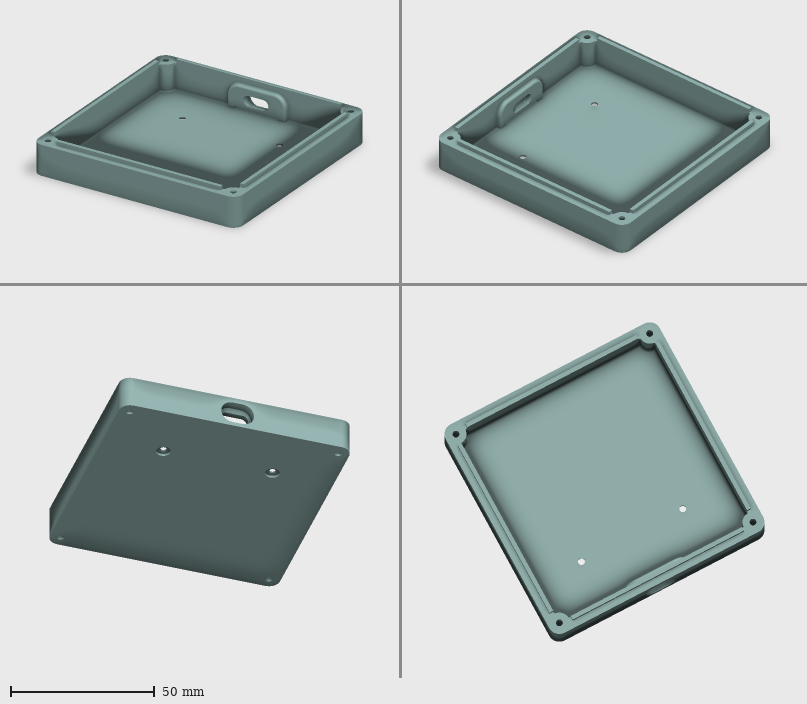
import cadquery as cq

side = 84.45
total_height = 13.5
lip_height = 1.5
body_height = total_height - lip_height
corner_radius = 4.0
wall = 4.0
floor_thickness = 1.5
floor_fillet = 0.7
post_blend = 0.5
cavity_side = side - 2 * wall
inner_face = cavity_side / 2
outer_face = side / 2

post_radius = 3.65
screw_diameter = 2.4

lip_width = 1.5
lip_length = 67.6

mount_diameter = 2.4
mount_head_diameter = 5.2
mount_head_depth = 0.9
mount_spacing = 40.0
mount_y = 20.4

pad_width = 23.8
pad_top = 10.8
pad_corner_radius = 4.65
pad_blend = 0.78
pad_thickness = 2 * pad_blend
pad_face = inner_face - pad_thickness
notch_width = 18.0
notch_height = 1.1

port_z = 5.75
socket_width = 10.2
socket_height = 4.2
port_width = 9.8
port_height = 4.0
recess_width = 12.0
recess_height = 8.5
recess_depth = 3.4


def at_cavity_corners(height):
    """Workplane at the given height with one point on each corner of the cavity."""
    plane = cq.Workplane("XY").workplane(offset=height)
    return plane.rect(cavity_side, cavity_side, forConstruction=True).vertices()


def make_body():
    """Square tray whose cavity leaves a round post in each corner."""
    body = cq.Workplane("XY").rect(side, side).extrude(body_height)
    body = body.edges("|Z").fillet(corner_radius)
    cavity_height = body_height - floor_thickness
    cavity = cq.Workplane("XY").workplane(offset=floor_thickness)
    cavity = cavity.rect(cavity_side, cavity_side).extrude(cavity_height)
    cavity = cavity.cut(at_cavity_corners(floor_thickness).circle(post_radius).extrude(cavity_height))
    cavity = cavity.edges("|Z").fillet(post_blend).edges("<Z").fillet(floor_fillet)
    return body.cut(cavity)


def make_lip():
    """Four strips standing on the rim, flush with the cavity walls."""
    strip = (
        cq.Workplane("XY")
        .workplane(offset=body_height)
        .center(0, inner_face + lip_width / 2)
        .rect(lip_length, lip_width)
        .extrude(lip_height)
    )
    lip = strip
    for angle in (90, 180, 270):
        lip = lip.union(strip.rotate((0, 0, 0), (0, 0, 1), angle))
    return lip


def arched_slab(grow, start_y, depth):
    """Slab on the floor with two round top corners, grown sideways and upwards, running towards -Y."""
    height = pad_top + grow - floor_thickness
    slab = cq.Workplane("XZ", origin=(0, start_y, floor_thickness + height / 2))
    slab = slab.rect(pad_width + 2 * grow, height).extrude(depth)
    return slab.edges("|Y and >Z").fillet(pad_corner_radius + grow)


def make_pad():
    """Connector pad: rounded front edge, hollow blend into the wall and a notch along the floor."""
    pad = arched_slab(0, inner_face, pad_thickness)
    pad = pad.faces("<Y").edges("not <Z").fillet(pad_blend)
    blend = arched_slab(pad_blend, inner_face, pad_blend)
    half_width = pad_width / 2 + pad_blend
    straight = pad_width / 2 - pad_corner_radius
    corner_z = pad_top - pad_corner_radius
    diagonal = (pad_corner_radius + pad_blend) / 2**0.5
    path = (
        cq.Workplane("XZ", origin=(0, inner_face - pad_blend, 0))
        .moveTo(-half_width, floor_thickness)
        .lineTo(-half_width, corner_z)
        .threePointArc((-straight - diagonal, corner_z + diagonal), (-straight, pad_top + pad_blend))
        .lineTo(straight, pad_top + pad_blend)
        .threePointArc((straight + diagonal, corner_z + diagonal), (half_width, corner_z))
        .lineTo(half_width, floor_thickness)
    )
    groove = cq.Workplane("XY", origin=(-half_width, inner_face - pad_blend, floor_thickness))
    groove = groove.circle(pad_blend).sweep(path)
    pad = pad.union(blend.cut(groove))
    notch = cq.Workplane("XY", origin=(0, inner_face, floor_thickness))
    notch = notch.rect(notch_width, 2 * pad_thickness).extrude(notch_height)
    return pad.cut(notch)


def stadium(width, height, start_y, end_y):
    """Horizontal slot with round ends, centred on the connector and running along Y."""
    slot = cq.Workplane("XZ", origin=(0, end_y, port_z))
    return slot.slot2D(width, height).extrude(end_y - start_y)


def cut_connector(part):
    """Three stacked slots through the pad and the +Y wall."""
    recess_floor = outer_face - recess_depth
    part = part.cut(stadium(socket_width, socket_height, pad_face, inner_face))
    part = part.cut(stadium(port_width, port_height, inner_face, recess_floor))
    return part.cut(stadium(recess_width, recess_height, recess_floor, outer_face))


def cut_screw_holes(part):
    """Through holes in the corner posts and counterbored holes in the floor."""
    part = part.cut(at_cavity_corners(0).circle(screw_diameter / 2).extrude(body_height))
    for x in (-mount_spacing / 2, mount_spacing / 2):
        start = cq.Workplane("XY", origin=(x, mount_y, 0))
        part = part.cut(start.circle(mount_diameter / 2).extrude(floor_thickness))
        part = part.cut(start.circle(mount_head_diameter / 2).extrude(mount_head_depth))
    return part


result = make_body().union(make_lip()).union(make_pad())
result = cut_connector(result)
result = cut_screw_holes(result)